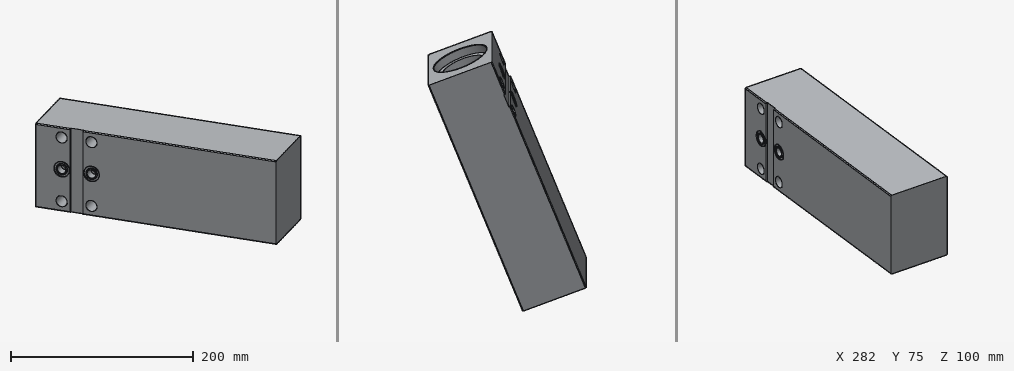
import cadquery as cq

length = 282.0
width = 75.0
height = 100.0
edge_chamfer = 1.0

bore_diameter = 50.0
end_wall = 28.2
bore_depth = length - end_wall
mouth_diameter = 62.0
mouth_depth = 10.0
mouth_chamfer = 0.5

slot_centre = 48.0
slot_width = 15.0
slot_depth = 2.0

column_spacing = 35.0
mount_hole_diameter = 13.0
mount_hole_spacing = 76.0
port_diameter = 10.0
port_depth = 11.3
seal_groove_outer_diameter = 18.0
seal_groove_inner_diameter = 13.0
seal_groove_depth = 1.5

front_face = -width / 2


def drill_from_front(x, z, diameter, depth):
    """Cylinder entering the -Y face at (x, z) and running toward +Y."""
    start = cq.Vector(x, front_face, z)
    return cq.Workplane(obj=cq.Solid.makeCylinder(diameter / 2, depth, start, cq.Vector(0, 1, 0)))


def make_block():
    block = cq.Workplane("XY").box(length, width, height, centered=(False, True, True))
    return block.edges("|X").chamfer(edge_chamfer)


def make_bore():
    """Bore profile in XY, revolved about the X axis."""
    bore_radius = bore_diameter / 2
    mouth_radius = mouth_diameter / 2
    return (
        cq.Workplane("XY")
        .moveTo(0, 0)
        .lineTo(0, mouth_radius + mouth_chamfer)
        .lineTo(mouth_chamfer, mouth_radius)
        .lineTo(mouth_depth, mouth_radius)
        .lineTo(mouth_depth, bore_radius)
        .lineTo(bore_depth, bore_radius)
        .lineTo(bore_depth, 0)
        .close()
        .revolve(360, (0, 0, 0), (1, 0, 0))
    )


def make_slot():
    return (
        cq.Workplane("XY")
        .box(slot_width, slot_depth, height, centered=(True, False, True))
        .translate((slot_centre, front_face, 0))
    )


def make_seal_groove(x):
    outer = drill_from_front(x, 0, seal_groove_outer_diameter, seal_groove_depth)
    inner = drill_from_front(x, 0, seal_groove_inner_diameter, seal_groove_depth)
    return outer.cut(inner)


result = make_block().cut(make_bore()).cut(make_slot())

for side in (-1, 1):
    column_x = slot_centre + side * column_spacing / 2
    for hole_z in (-mount_hole_spacing / 2, mount_hole_spacing / 2):
        result = result.cut(drill_from_front(column_x, hole_z, mount_hole_diameter, width))
    result = result.cut(drill_from_front(column_x, 0, port_diameter, port_depth))
    result = result.cut(make_seal_groove(column_x))